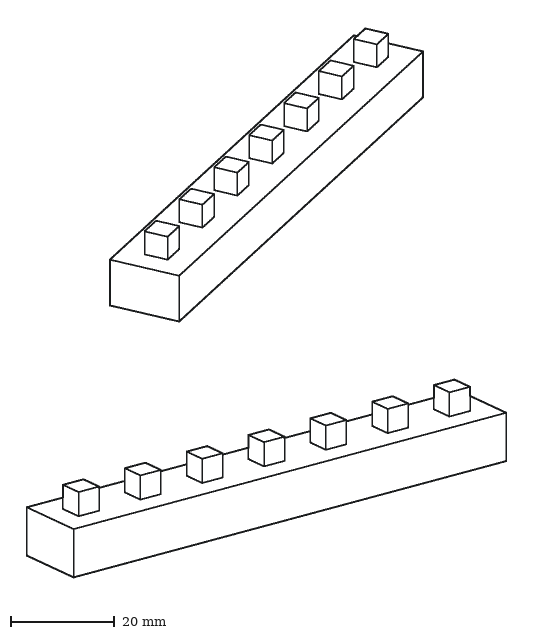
import cadquery as cq

bar_length = 105.0
peg_count = 7

cell_size = bar_length / peg_count
peg_size = cell_size / 3
bar_height = 2 * peg_size

bar = cq.Workplane("XY").box(cell_size, bar_length, bar_height, centered=(True, True, False))

pegs = (
    cq.Workplane("XY", origin=(0, 0, bar_height))
    .rarray(cell_size, cell_size, 1, peg_count)
    .rect(peg_size, peg_size)
    .extrude(peg_size)
)

result = bar.union(pegs)